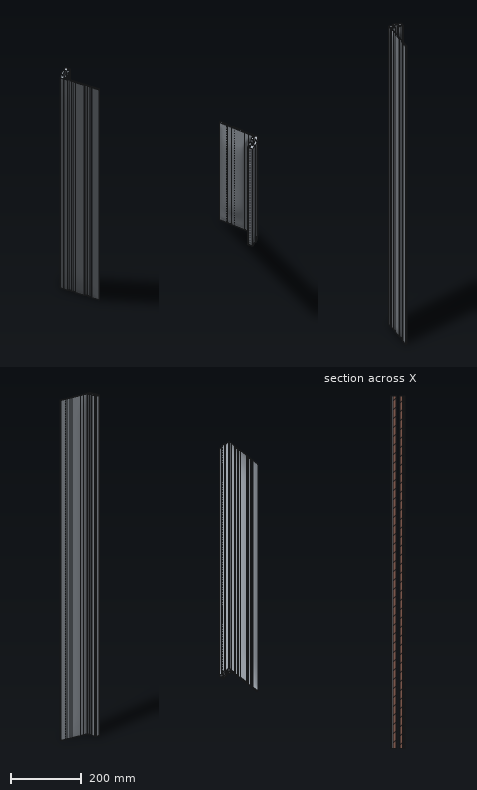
import cadquery as cq

length = 1000.0
width = 121.0
depth = 40.0

pad_height = 3.0
channel_right = 19.0
corner_chamfer = 2.0
pad_bottom = 15.0
pad_top = 26.0
cavity_left = 7.0
cavity_bottom = 10.0
cavity_top = depth - cavity_bottom
lip_left = 13.0
mouth_bottom = 15.0
mouth_top = 24.0

bore_size = 4.0
bore_left = 13.0
bore_inset = 2.5

plate_thickness = 4.0
tooth_pitch = 12.0
tooth_depth = 2.5
left_band_start = 26.0
right_band_start = 76.0
teeth_per_band = 2


def box(left, right, bottom, top):
    """Full-length bar with the given rectangular section."""
    return cq.Workplane("XY").rect(right - left, top - bottom).extrude(length).translate(
        ((left + right) / 2, (bottom + top) / 2, 0)
    )


def make_channel():
    body = box(pad_height, channel_right, 0, depth)
    body = body.edges("|Z and <X").chamfer(corner_chamfer)
    pad = box(0, cavity_left, pad_bottom, pad_top)
    cavity = box(cavity_left, lip_left, cavity_bottom, cavity_top)
    mouth = box(lip_left, channel_right, mouth_bottom, mouth_top)
    channel = body.union(pad).cut(cavity).cut(mouth)
    for bore_bottom in (bore_inset, depth - bore_inset - bore_size):
        channel = channel.cut(
            box(bore_left, bore_left + bore_size, bore_bottom, bore_bottom + bore_size)
        )
    return channel


def make_grooves(start):
    """Adjoining V grooves cut into the front face of the plate."""
    points = [(start, 0)]
    for tooth in range(teeth_per_band):
        left = start + tooth * tooth_pitch
        points.append((left + tooth_pitch / 2, tooth_depth))
        points.append((left + tooth_pitch, 0))
    points.append((start + teeth_per_band * tooth_pitch, -tooth_depth))
    points.append((start, -tooth_depth))
    return cq.Workplane("XY").polyline(points).close().extrude(length)


def make_ridges(start):
    """Recess at half tooth depth whose floor zigzags, leaving ridges flush with the plate."""
    middle = tooth_depth / 2
    points = [(start, -tooth_depth), (start, middle)]
    for tooth in range(teeth_per_band):
        left = start + tooth * tooth_pitch
        points.append((left + tooth_pitch / 4, 0))
        points.append((left + tooth_pitch * 3 / 4, tooth_depth))
    end = start + teeth_per_band * tooth_pitch
    points += [(end, middle), (end, -tooth_depth)]
    return cq.Workplane("XY").polyline(points).close().extrude(length)


plate = box(channel_right - plate_thickness, width, 0, plate_thickness)
result = make_channel().union(plate)
result = result.cut(make_grooves(left_band_start))
result = result.cut(make_ridges(right_band_start))